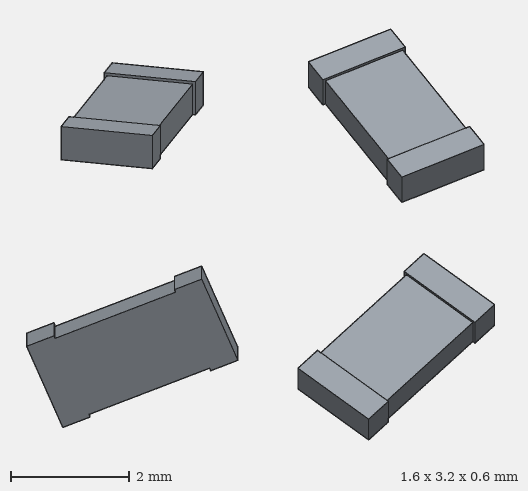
import cadquery as cq

chip_width = 1.6
chip_length = 3.2
chip_height = 0.6

terminal_length = 0.5
terminal_thickness = 0.05

body_width = chip_width - 2 * terminal_thickness
body_length = chip_length - 2 * terminal_thickness
body_height = chip_height - terminal_thickness


def block(width, length, height, center_y=0):
    """Box standing on the Z = 0 plane, centred on X = 0 and Y = center_y."""
    box = cq.Workplane("XY").box(width, length, height, centered=(True, True, False))
    return box.translate((0, center_y, 0))


def terminal(side):
    """End cap at the -Y (side = -1) or +Y (side = 1) end of the chip."""
    center_y = side * (chip_length - terminal_length) / 2
    return block(chip_width, terminal_length, chip_height, center_y)


result = block(body_width, body_length, body_height)
for end in (-1, 1):
    result = result.union(terminal(end))